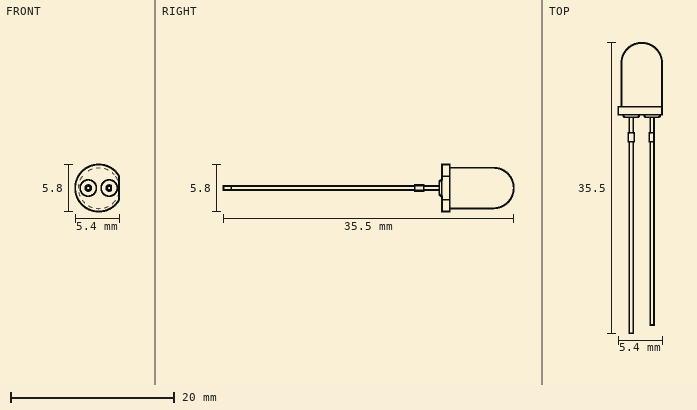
import cadquery as cq
import math

total_length = 35.5

lens_radius = 5.0 / 2
lens_height = 8.8
flange_radius = 5.8 / 2
flange_thickness = 1.0
flange_flat_x = lens_radius

boss_radius = 1.0
boss_height = 0.32
boss_rounding = 0.3

lead_spacing = 2.55
lead_radius = 0.25
collar_radius = 0.75 / 2
collar_start = 2.2
collar_length = 1.1
long_lead_reach = total_length - lens_height
lead_length_difference = 1.0
short_lead_reach = long_lead_reach - lead_length_difference

long_lead_x = -lead_spacing / 2
short_lead_x = lead_spacing / 2


def rod(radius, start, length, x=0.0):
    """Cylinder that starts at depth `start` below the flange base and runs toward -Y."""
    return cq.Workplane("XZ", origin=(x, -start, 0)).circle(radius).extrude(length)


def keep_left_of(shape, limit_x):
    """Cut a flat facing +X by removing everything beyond limit_x."""
    cutter = (
        cq.Workplane("XY")
        .box(total_length, 2 * total_length, total_length, centered=(False, True, True))
        .translate((limit_x, 0, 0))
    )
    return shape.cut(cutter)


def make_lens():
    """Solid of revolution: straight barrel closed by a hemispherical dome."""
    dome_start = lens_height - lens_radius
    dome_middle = lens_radius * math.cos(math.radians(45))
    return (
        cq.Workplane("XY")
        .lineTo(lens_radius, 0)
        .lineTo(lens_radius, dome_start)
        .threePointArc((dome_middle, dome_start + dome_middle), (0, lens_height))
        .close()
        .revolve(360, (0, 0), (0, 1))
    )


def make_flange():
    flange = rod(flange_radius, -flange_thickness, flange_thickness)
    return keep_left_of(flange, flange_flat_x)


def make_boss(x):
    return rod(boss_radius, 0, boss_height, x).faces("<Y").edges().fillet(boss_rounding)


def make_housing():
    housing = make_lens().union(make_flange())
    for x in (long_lead_x, short_lead_x):
        housing = housing.union(make_boss(x))
    return housing


def make_lead(x, reach, flat_collar):
    """Round lead that butts against its boss and carries a stop collar."""
    lead = rod(lead_radius, boss_height, reach - boss_height, x)
    collar = rod(collar_radius, collar_start, collar_length, x)
    if flat_collar:
        collar = keep_left_of(collar, x + lead_radius)
    return lead.union(collar)


housing = make_housing()

leads = []
for x, reach, flat_collar in (
    (long_lead_x, long_lead_reach, False),
    (short_lead_x, short_lead_reach, True),
):
    leads.append(make_lead(x, reach, flat_collar).val())

result = cq.Compound.makeCompound([housing.val(), *leads])